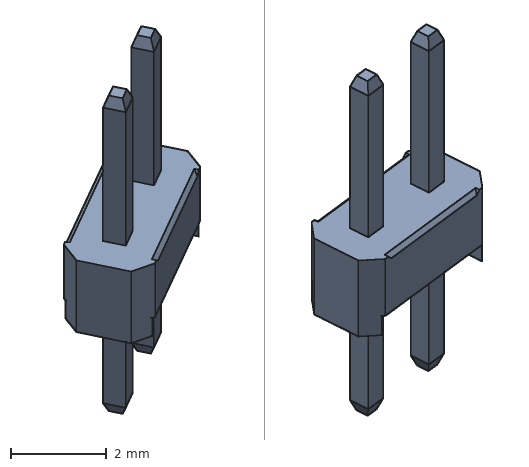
import cadquery as cq


pin_count = 2
pitch = 2.0

body_width = 2.0
body_length = pin_count * pitch
body_height = 2.0
corner_chamfer = 0.4

foot_length = 0.35
foot_height = 0.5
gap_length = body_length - 2 * foot_length

bevel_size = 0.1
bevel_top_length = 3.0
bevel_bottom_length = bevel_top_length - 2 * bevel_size

pin_width = 0.5
pin_tip_width = 0.3
pin_taper_height = 0.28
pin_above_body = 4.0
pin_below_body = 2.8
pin_bottom = -pin_below_body
pin_top = body_height + pin_above_body


def make_body():
    block = cq.Workplane("XY").box(body_width, body_length, body_height, centered=(True, True, False))
    block = block.edges("|Z").chamfer(corner_chamfer)
    gap = cq.Workplane("XY").box(body_width, gap_length, foot_height, centered=(True, True, False))
    return block.cut(gap)


def make_edge_bevel(side):
    """Wedge to remove from the top edge on the -X (side = -1) or +X (side = 1) face."""
    outer_x = side * body_width / 2
    inner_x = outer_x - side * bevel_size
    low_z = body_height - bevel_size
    half_top = bevel_top_length / 2
    half_bottom = bevel_bottom_length / 2

    inner_a = cq.Vector(inner_x, -half_top, body_height)
    inner_b = cq.Vector(inner_x, half_top, body_height)
    outer_a = cq.Vector(outer_x, -half_top, body_height)
    outer_b = cq.Vector(outer_x, half_top, body_height)
    low_a = cq.Vector(outer_x, -half_bottom, low_z)
    low_b = cq.Vector(outer_x, half_bottom, low_z)

    outlines = [
        [inner_a, inner_b, outer_b, outer_a],
        [outer_a, outer_b, low_b, low_a],
        [inner_a, low_a, low_b, inner_b],
        [inner_a, outer_a, low_a],
        [inner_b, low_b, outer_b],
    ]
    faces = [cq.Face.makeFromWires(cq.Wire.makePolygon(points, close=True)) for points in outlines]
    return cq.Workplane(cq.Solid.makeSolid(cq.Shell.makeShell(faces)))


def make_pin_tip(base_z, direction):
    """Tapered pin end starting at base_z and pointing up (direction = 1) or down (direction = -1)."""
    return (
        cq.Workplane("XY", origin=(0, 0, base_z))
        .rect(pin_width, pin_width)
        .workplane(offset=direction * pin_taper_height)
        .rect(pin_tip_width, pin_tip_width)
        .loft(ruled=True)
    )


def make_pin():
    shank_bottom = pin_bottom + pin_taper_height
    shank_top = pin_top - pin_taper_height
    shank = (
        cq.Workplane("XY", origin=(0, 0, shank_bottom))
        .rect(pin_width, pin_width)
        .extrude(shank_top - shank_bottom)
    )
    return shank.union(make_pin_tip(shank_top, 1)).union(make_pin_tip(shank_bottom, -1))


result = make_body()

for side in (-1, 1):
    result = result.cut(make_edge_bevel(side))

pin = make_pin()
for index in range(pin_count):
    pin_y = (index - (pin_count - 1) / 2) * pitch
    result = result.union(pin.translate((0, pin_y, 0)))